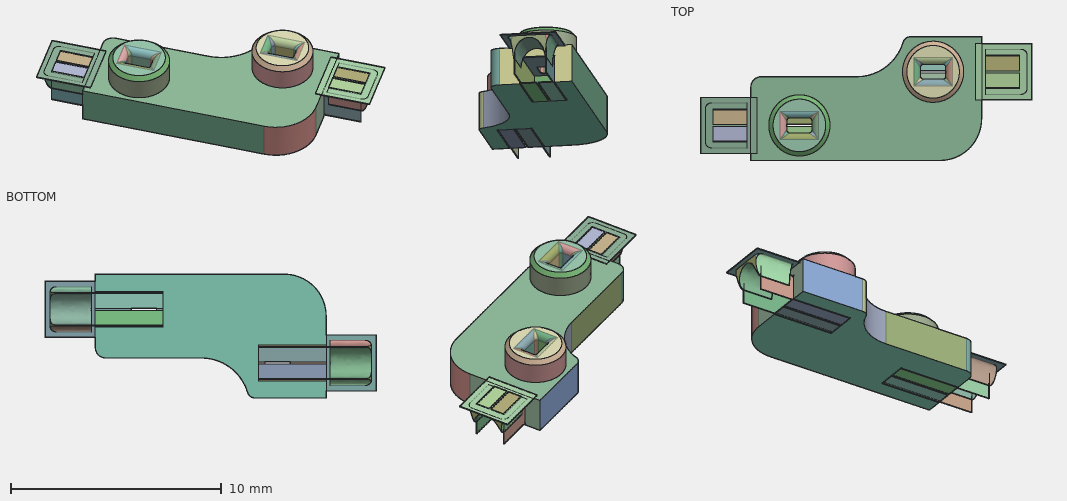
import cadquery as cq
import math


total_length = 15.69
total_height = 3.05
housing_width = 5.88

boss_spacing_x = 6.34
boss_spacing_y = 2.54
boss_inset_x = 2.3
boss_inset_y = (housing_width - boss_spacing_y) / 2
boss_diameter = 2.9
boss_chamfer = 0.2

housing_length = boss_spacing_x + 2 * boss_inset_x
housing_height = 1.8
step_width = 3.99
big_corner_radius = 2.0
small_corner_radius = 0.5
step_arc_x = 5.04
step_arc_radius = 2.28
tip_radius = 0.4
axis_x = housing_length / 2
axis_y = housing_width / 2

throat_length = 1.2
throat_width = 0.7
throat_corner_radius = 0.14
mouth_radius = 0.31

sheet = 0.05
leg_bend_radius = 0.05
contact_width = 1.57
contact_height = 1.32
leaf_gap = 0.1
leg_reach = 1.79
relief_length = 0.19
contact_end_x = boss_inset_x + throat_length / 2 + mouth_radius
pocket_clearance = 0.06

pad_side = 2.67
pad_reach = (total_length - housing_length) / 2
solder_bottom = 0.72
solder_roof = 1.65
solder_flare = 0.28
solder_end_reach = 0.36

pad_bottom = housing_height - sheet
contact_inner_half = contact_width / 2 - sheet


def centred_box(x_range, width, z_range):
    """Box between X and Z limits, centred on the Y position of the left boss."""
    x_low, x_high = x_range
    z_low, z_high = z_range
    return (
        cq.Workplane("XY")
        .box(x_high - x_low, width, z_high - z_low, centered=(False, True, False))
        .translate((x_low, boss_inset_y, z_low))
    )


def turned(body):
    """Copy of a left-end body turned half a turn to the right end."""
    return body.rotate((axis_x, axis_y, 0), (axis_x, axis_y, 1), 180)


def mouth_profile(plane, half_width, depth):
    """Hole cross-section with rounded lips, extruded along the plane normal both ways."""
    lip_z = total_height - mouth_radius
    lip_middle = mouth_radius * (1 - math.sqrt(0.5))
    return (
        cq.Workplane(plane)
        .moveTo(-half_width, 0)
        .lineTo(-half_width, lip_z)
        .threePointArc(
            (-half_width - lip_middle, total_height - lip_middle),
            (-half_width - mouth_radius, total_height),
        )
        .lineTo(half_width + mouth_radius, total_height)
        .threePointArc(
            (half_width + lip_middle, total_height - lip_middle),
            (half_width, lip_z),
        )
        .lineTo(half_width, 0)
        .close()
        .extrude(depth, both=True)
    )


def pin_hole(bottom):
    """Pin hole of the left boss, from the boss top down to the given height."""
    along_x = mouth_profile("XZ", throat_length / 2, boss_diameter)
    along_y = mouth_profile("YZ", throat_width / 2, boss_diameter)
    hole = along_x.intersect(along_y)
    hole = hole.edges("|Z").fillet(throat_corner_radius)
    hole = hole.translate((boss_inset_x, boss_inset_y, 0))
    above = centred_box((0, 2 * boss_inset_x), boss_diameter, (bottom, total_height))
    return hole.intersect(above)


def make_boss():
    """Chamfered round boss at the left end, starting on the housing bottom."""
    return (
        cq.Workplane("XY")
        .center(boss_inset_x, boss_inset_y)
        .circle(boss_diameter / 2)
        .extrude(total_height)
        .faces(">Z")
        .chamfer(boss_chamfer)
    )


def contact_pocket():
    """Pocket for the contact, open to the end face and to the bottom."""
    return centred_box((0, contact_end_x), contact_width + 2 * pocket_clearance, (0, contact_height))


def pad_plate():
    """Thin square plate lying flush with the housing top."""
    return centred_box((-pad_reach, pad_side - pad_reach), pad_side, (pad_bottom, housing_height))


def housing_block():
    """Stepped block: a hollow arc tangent to the low side climbs to the high side."""
    arc_centre_y = step_width + step_arc_radius
    arc_rise = arc_centre_y - housing_width
    arc_end_x = step_arc_x + math.sqrt(step_arc_radius ** 2 - arc_rise ** 2)
    diagonal = step_arc_radius * math.sqrt(0.5)
    arc_middle = (step_arc_x + diagonal, arc_centre_y - diagonal)
    block = (
        cq.Workplane("XY")
        .lineTo(housing_length, 0)
        .lineTo(housing_length, housing_width)
        .lineTo(arc_end_x, housing_width)
        .threePointArc(arc_middle, (step_arc_x, step_width))
        .lineTo(0, step_width)
        .close()
        .extrude(housing_height)
    )
    corners = (
        (housing_length, 0, big_corner_radius),
        (0, step_width, small_corner_radius),
        (arc_end_x, housing_width, tip_radius),
    )
    for x, y, radius in corners:
        corner = cq.selectors.NearestToPointSelector((x, y, housing_height / 2))
        block = block.edges(corner).fillet(radius)
    return block


def make_housing():
    """Block and bosses with the contact pockets, pad recesses and pin holes cut out."""
    boss = make_boss()
    body = housing_block().union(boss).union(turned(boss))
    for cutter in (contact_pocket(), pad_plate(), pin_hole(contact_height)):
        body = body.cut(cutter).cut(turned(cutter))
    return body


def make_contact():
    """Left contact: a box channel slit along its floor, and two bent legs outside."""
    channel_x = (-relief_length, contact_end_x)
    inside_width = 2 * contact_inner_half
    channel = centred_box(channel_x, contact_width, (0, contact_height))
    channel = channel.cut(centred_box(channel_x, inside_width, (sheet, contact_height - sheet)))
    channel = channel.cut(centred_box(channel_x, leaf_gap, (0, sheet)))
    channel = channel.cut(pin_hole(sheet))

    outside_x = (-relief_length, 0)
    channel = channel.cut(centred_box(outside_x, inside_width, (0, contact_height)))

    legs_x = (-leg_reach, -relief_length)
    legs = centred_box(legs_x, contact_width, (0, housing_height))
    legs = legs.edges("|X and >Z").fillet(leg_bend_radius)
    legs = legs.cut(centred_box(legs_x, inside_width, (0, pad_bottom)))
    legs = legs.cut(centred_box(legs_x, leaf_gap, (0, housing_height)))
    return channel.union(legs)


def solder_curve(plane, centre, half_width, half_height, length):
    """Elliptical cylinder starting on the given plane centre."""
    return (
        cq.Workplane(plane, origin=centre)
        .ellipse(half_width, half_height)
        .extrude(length)
    )


def make_pad(contact):
    """Left pad: plate with solder that arches between the legs and flares outside them.

    Beyond the leg ends the solder is rounded at its corners and curves up to the plate.
    """
    solder_x = (-leg_reach - solder_end_reach, -relief_length)
    solder_length = solder_x[1] - solder_x[0]
    solder_width = contact_width + 2 * solder_flare
    solder_height = pad_bottom - solder_bottom
    solder = centred_box(solder_x, solder_width, (solder_bottom, pad_bottom))
    solder = solder.edges("|Z and <X").fillet(solder_flare)

    arch_centre = (solder_x[0], boss_inset_y, solder_bottom)
    arch = solder_curve("YZ", arch_centre, contact_inner_half, solder_roof - solder_bottom, solder_length)
    solder = solder.cut(arch)
    for side in (-1, 1):
        flare_y = boss_inset_y + side * solder_width / 2
        flare_centre = (solder_x[0], flare_y, solder_bottom)
        solder = solder.cut(solder_curve("YZ", flare_centre, solder_flare, solder_height, solder_length))

    back_y = boss_inset_y + solder_width / 2
    end_centre = (-leg_reach, back_y, pad_bottom)
    rounded_end = solder_curve("XZ", end_centre, solder_end_reach, solder_height, solder_width)
    straight = centred_box((-leg_reach, solder_x[1]), solder_width, (solder_bottom, pad_bottom))
    solder = solder.intersect(rounded_end.union(straight))
    return pad_plate().union(solder).cut(contact)


housing = make_housing()
left_contact = make_contact()
left_pad = make_pad(left_contact)
contacts = [left_contact, turned(left_contact)]
pads = [left_pad, turned(left_pad)]

result = cq.Compound.makeCompound([
    housing.val(),
    *[contact.val() for contact in contacts],
    *[pad.val() for pad in pads],
])